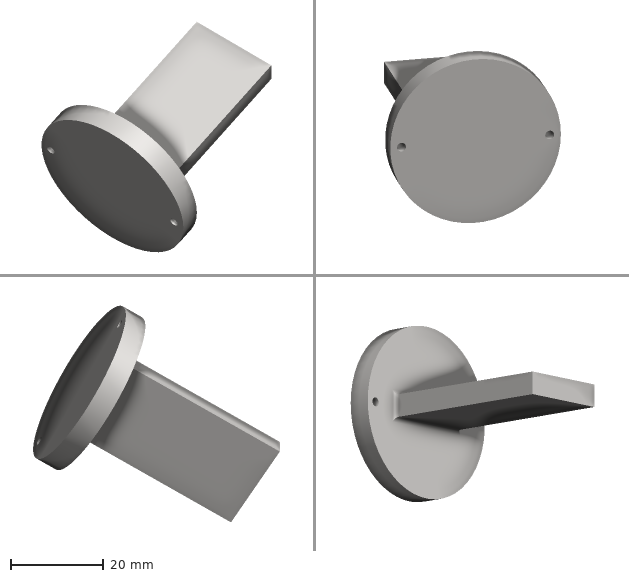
import cadquery as cq

flange_diameter = 38.0
flange_thickness = 5.0

overall_length = 45.0
bar_width = 20.0
bar_height = 5.0
root_fillet = 1.0

hole_diameter = 2.0
hole_spacing = 33.0


def along_y(start):
    """Workplane at Y = start whose extrusions run towards +Y."""
    return cq.Workplane("XZ", origin=(0, start, 0))


def make_flange():
    disc = along_y(0).circle(flange_diameter / 2).extrude(-flange_thickness)
    hole_centres = [(-hole_spacing / 2, 0), (hole_spacing / 2, 0)]
    holes = along_y(0).pushPoints(hole_centres).circle(hole_diameter / 2).extrude(-flange_thickness)
    return disc.cut(holes)


def make_bar():
    bar_length = overall_length - flange_thickness
    return along_y(flange_thickness).rect(bar_width, bar_height).extrude(-bar_length)


def fillet_bar_root(body):
    """Blend the four straight edges where the bar meets the flange."""
    margin = 0.45
    half_x = bar_width / 2 + margin
    half_z = bar_height / 2 + margin
    root_edges = cq.selectors.BoxSelector(
        (-half_x, flange_thickness - margin, -half_z),
        (half_x, flange_thickness + margin, half_z),
    )
    return body.edges(root_edges).edges("%LINE").fillet(root_fillet)


result = fillet_bar_root(make_flange().union(make_bar()))